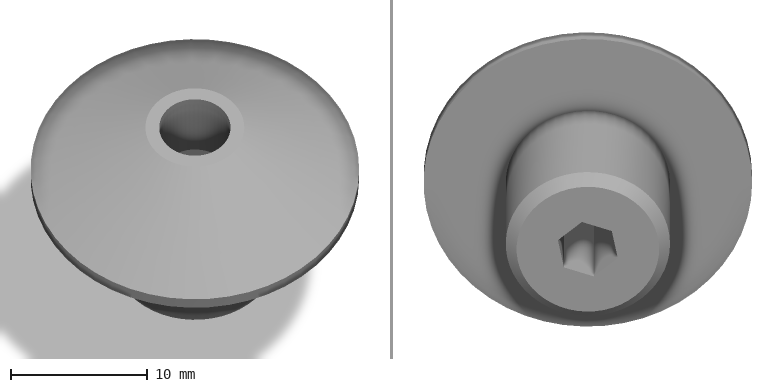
import cadquery as cq
import math

head_diameter = 24.0
head_top_diameter = 7.22
rim_height = 1.0
cone_height = 5.0
head_height = rim_height + cone_height

shank_diameter = head_diameter / 2
shank_length = 10.0
shank_chamfer = 0.8

bore_diameter = 5.2
bore_depth = head_height
hex_across_flats = 4.0
hex_across_corners = hex_across_flats / math.cos(math.pi / 6)
hex_turn = 30


def make_body():
    """Revolve the half section of head and shank; the head seat is at Z = 0."""
    head_radius = head_diameter / 2
    shank_radius = shank_diameter / 2
    return (
        cq.Workplane("XZ")
        .moveTo(0, -shank_length)
        .lineTo(shank_radius - shank_chamfer, -shank_length)
        .lineTo(shank_radius, shank_chamfer - shank_length)
        .lineTo(shank_radius, 0)
        .lineTo(head_radius, 0)
        .lineTo(head_radius, rim_height)
        .lineTo(head_top_diameter / 2, head_height)
        .lineTo(0, head_height)
        .close()
        .revolve(360, (0, 0, 0), (0, 1, 0))
    )


def make_bore():
    return (
        cq.Workplane("XY", origin=(0, 0, head_height - bore_depth))
        .circle(bore_diameter / 2)
        .extrude(bore_depth)
    )


def make_hex_socket():
    return (
        cq.Workplane("XY", origin=(0, 0, -shank_length))
        .polygon(6, hex_across_corners)
        .extrude(shank_length + head_height)
        .rotate((0, 0, 0), (0, 0, 1), hex_turn)
    )


result = make_body().cut(make_bore()).cut(make_hex_socket())